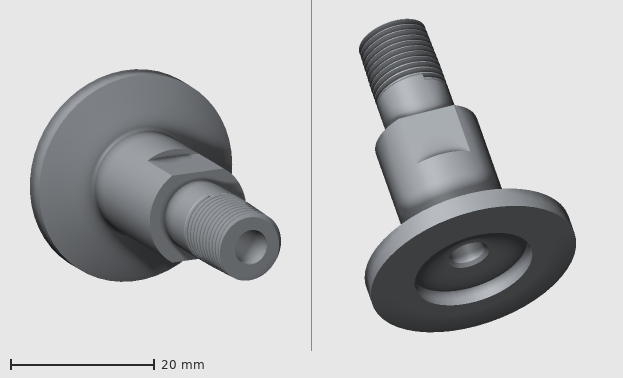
import cadquery as cq
import math

overall_length = 40.0
shoulder_x = 23.0

flange_radius = 30.0 / 2
rim_thickness = 3.0
flange_back_angle = 15.0
flange_fillet = 0.65
recess_diameter = 17.2
recess_depth = 2.4

body_radius = 15.0 / 2
flats_start_x = 15.0
width_across_flats = 12.7

bore_diameter = 5.0
bore_chamfer = 0.5

neck_radius = 10.29 / 2
thread_pitch = 25.4 / 27
taper_angle = math.degrees(math.atan(1 / 32))
taper_start_x = 33.0
groove_width = 0.85
root_flat = 0.10
flank_angle = 30.0
groove_depth = (groove_width - root_flat) / 2 / math.tan(math.radians(flank_angle))
thread_start_x = 29.82
thread_start_turn = 17.3
cutter_margin = 0.3

notch_offset = -0.68
notch_width = 0.22
notch_depth = 0.08


def taper_radius(x):
    """Radius of the thread crest cone at position x."""
    return neck_radius - (x - taper_start_x) * math.tan(math.radians(taper_angle))


def make_blank():
    """Turned outline of flange, body and neck."""
    cone_length = (flange_radius - body_radius) * math.tan(math.radians(flange_back_angle))
    cone_end_x = rim_thickness + cone_length
    turn = math.radians(90 - flange_back_angle)
    tangent_length = flange_fillet * math.tan(turn / 2)
    fillet_start = (
        cone_end_x - tangent_length * math.sin(math.radians(flange_back_angle)),
        body_radius + tangent_length * math.cos(math.radians(flange_back_angle)),
    )
    fillet_end = (cone_end_x + tangent_length, body_radius)
    fillet_middle = (
        fillet_end[0] - flange_fillet * math.sin(turn / 2),
        body_radius + flange_fillet * (1 - math.cos(turn / 2)),
    )
    outline = (
        cq.Workplane("XY")
        .lineTo(0, flange_radius)
        .lineTo(rim_thickness, flange_radius)
        .lineTo(*fillet_start)
        .threePointArc(fillet_middle, fillet_end)
        .lineTo(shoulder_x, body_radius)
        .lineTo(shoulder_x, neck_radius)
        .lineTo(taper_start_x, neck_radius)
        .lineTo(overall_length, taper_radius(overall_length))
        .lineTo(overall_length, 0)
        .close()
    )
    return outline.revolve(360, (0, 0, 0), (1, 0, 0))


def cut_flats(part):
    """Two parallel wrench flats, above and below, running to the shoulder."""
    flats_length = shoulder_x - flats_start_x
    slab_height = body_radius
    for side in (1, -1):
        slab = cq.Workplane("XY").box(flats_length, 2 * body_radius, slab_height).translate(
            (flats_start_x + flats_length / 2, 0, side * (width_across_flats + slab_height) / 2)
        )
        part = part.cut(slab)
    return part


def cut_bore(part):
    """Face recess and chamfered through bore."""
    end_face = cq.Workplane("YZ")
    recess = end_face.circle(recess_diameter / 2).extrude(recess_depth)
    bore = end_face.circle(bore_diameter / 2).extrude(overall_length)
    countersink = cq.Workplane(
        cq.Solid.makeCone(
            bore_diameter / 2 + bore_chamfer,
            bore_diameter / 2,
            bore_chamfer,
            pnt=cq.Vector(recess_depth, 0, 0),
            dir=cq.Vector(1, 0, 0),
        )
    )
    return part.cut(recess).cut(bore).cut(countersink)


def helical_cutter(profile, turns):
    """Solid swept by a profile winding along the taper, ending at the thread start.

    The profile is a list of (axial offset, height above the taper cone) points.
    It is built up the Z axis, widening upwards, then laid along X.
    """
    slant_rise = thread_pitch * math.cos(math.radians(taper_angle))
    length = turns * slant_rise
    tip_x = thread_start_x + length
    helices = []
    for offset, height in profile:
        helices.append(
            cq.Wire.makeHelix(
                thread_pitch,
                turns * thread_pitch,
                taper_radius(tip_x + offset) + height,
                center=cq.Vector(0, 0, -offset),
                angle=taper_angle,
            ).Edges()[0]
        )
    following = helices[1:] + helices[:1]
    faces = [cq.Face.makeRuledSurface(a, b) for a, b in zip(helices, following)]
    for corners in (
        [helix.startPoint() for helix in helices],
        [helix.endPoint() for helix in helices],
    ):
        faces.append(cq.Face.makeFromWires(cq.Wire.makePolygon(corners, close=True)))
    cutter = cq.Solid.makeSolid(cq.Shell.makeShell(faces))
    cutter = cutter.rotate(cq.Vector(), cq.Vector(0, 0, 1), -360 * turns)
    cutter = cutter.rotate(cq.Vector(), cq.Vector(0, 1, 0), -90)
    cutter = cutter.rotate(cq.Vector(), cq.Vector(1, 0, 0), thread_start_turn)
    return cq.Workplane(cutter.translate(cq.Vector(tip_x, 0, 0)))


def cut_thread(part):
    """Helical thread groove and its lead-in notch."""
    half_width = groove_width / 2
    groove = [
        (-half_width, cutter_margin),
        (-half_width, 0),
        (-root_flat / 2, -groove_depth),
        (root_flat / 2, -groove_depth),
        (half_width, 0),
        (half_width, cutter_margin),
    ]
    groove_turns = math.ceil((overall_length - thread_start_x) / thread_pitch) + 1
    part = part.cut(helical_cutter(groove, groove_turns))

    notch_middle_x = thread_start_x + notch_offset
    neck_level = neck_radius - taper_radius(notch_middle_x)
    notch = [
        (notch_offset - notch_width / 2, cutter_margin),
        (notch_offset - notch_width / 2, neck_level),
        (notch_offset, neck_level - notch_depth),
        (notch_offset + notch_width / 2, neck_level),
        (notch_offset + notch_width / 2, cutter_margin),
    ]
    return part.cut(helical_cutter(notch, 1))


result = cut_thread(cut_bore(cut_flats(make_blank())))